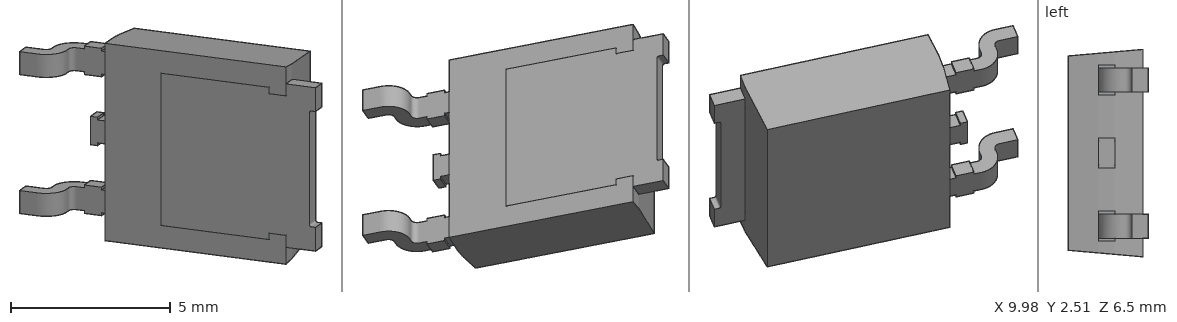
import cadquery as cq
import math


total_length = 9.98
stock_thickness = 0.51
draft = math.tan(math.radians(5))

housing_depth = 2.35
housing_width = 6.5
housing_left = 2.75
housing_right = 8.97

lead_pitch = 2.29
lead_width = 0.76
shoulder_width = 0.94
lead_bottom = 0.89
lead_top = lead_bottom + stock_thickness
foot_drop = 0.16
inner_bend = 0.19
outer_bend = inner_bend + stock_thickness
riser_left = 0.8
riser_right = riser_left + stock_thickness
shoulder_start = 1.76
shoulder_end = 2.35
centre_lead_start = 1.97
centre_shoulder_end = 2.21

tab_left = 4.73
tab_neck_start = 8.4
tab_pad_width = 5.01
tab_neck_width = 4.59
tab_outer_width = 5.38
notch_depth = 0.21
notch_width = 3.81
notch_radius = 0.07


def block(x_start, x_end, y_start, y_end, width):
    """Box between the given X and Y limits, centred on Z = 0."""
    size_x = x_end - x_start
    size_y = y_end - y_start
    centre = ((x_start + x_end) / 2, (y_start + y_end) / 2, 0)
    return cq.Workplane("XY").box(size_x, size_y, width).translate(centre)


def make_tab():
    pad = block(tab_left, tab_neck_start, 0, stock_thickness, tab_pad_width)
    neck = block(tab_neck_start, housing_right, 0, stock_thickness, tab_neck_width)
    outer = block(housing_right, total_length, 0, stock_thickness, tab_outer_width)
    notch_floor = total_length - notch_depth
    notch = block(notch_floor, total_length, 0, stock_thickness, notch_width)
    notch = notch.edges("|Y and <X").fillet(notch_radius)
    return pad.union(neck).union(outer).cut(notch)


def make_housing(tab):
    side_profile = (
        cq.Workplane("XY")
        .moveTo(housing_left + lead_bottom * draft, 0)
        .lineTo(housing_right, 0)
        .lineTo(housing_right, stock_thickness)
        .lineTo(housing_right - (housing_depth - stock_thickness) * draft, housing_depth)
        .lineTo(housing_left + (housing_depth - lead_top) * draft, housing_depth)
        .lineTo(housing_left, lead_top)
        .lineTo(housing_left, lead_bottom)
        .close()
        .extrude(housing_width / 2, both=True)
    )
    half_base = housing_width / 2
    half_top = half_base - housing_depth * draft
    end_profile = (
        cq.Workplane("YZ")
        .polyline([
            (0, -half_base),
            (housing_depth, -half_top),
            (housing_depth, half_top),
            (0, half_base),
        ])
        .close()
        .extrude(total_length)
    )
    return side_profile.intersect(end_profile).cut(tab)


def make_outer_lead(z_centre):
    foot_bottom = -foot_drop
    foot_top = foot_bottom + stock_thickness
    strip = (
        cq.Workplane("XY")
        .moveTo(0, foot_bottom)
        .lineTo(riser_right - outer_bend, foot_bottom)
        .radiusArc((riser_right, foot_bottom + outer_bend), -outer_bend)
        .lineTo(riser_right, lead_bottom - inner_bend)
        .radiusArc((riser_right + inner_bend, lead_bottom), inner_bend)
        .lineTo(housing_left, lead_bottom)
        .lineTo(housing_left, lead_top)
        .lineTo(riser_left + outer_bend, lead_top)
        .radiusArc((riser_left, lead_top - outer_bend), -outer_bend)
        .lineTo(riser_left, foot_top + inner_bend)
        .radiusArc((riser_left - inner_bend, foot_top), inner_bend)
        .lineTo(0, foot_top)
        .close()
        .extrude(lead_width / 2, both=True)
    )
    shoulder = block(shoulder_start, shoulder_end, lead_bottom, lead_top, shoulder_width)
    return strip.union(shoulder).translate((0, 0, z_centre))


def make_centre_lead():
    strip = block(centre_lead_start, housing_left, lead_bottom, lead_top, lead_width)
    shoulder = block(centre_lead_start, centre_shoulder_end, lead_bottom, lead_top, shoulder_width)
    return strip.union(shoulder)


tab = make_tab()
housing = make_housing(tab)
outer_leads = [make_outer_lead(side * lead_pitch) for side in (-1, 1)]
centre_lead = make_centre_lead()

result = cq.Compound.makeCompound([
    housing.solids().val(),
    tab.solids().val(),
    *[lead.solids().val() for lead in outer_leads],
    centre_lead.solids().val(),
])